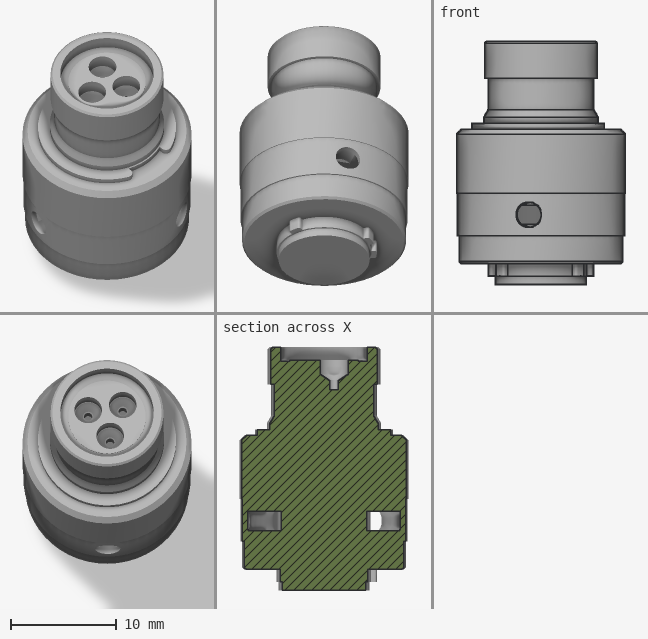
import cadquery as cq
import math

TOTAL_HEIGHT = 23.0
KEY_BASE_Z = 0.8
SHELL_BASE_Z = 1.98
LOWER_STEP_Z = 4.62
UPPER_STEP_Z = 8.65
SHELL_TOP_Z = 14.7
STOP_PLATE_TOP_Z = 15.23
COLLAR_EDGE_Z = 15.8
NECK_BASE_Z = 16.54
HEAD_BASE_Z = 19.48

SPIGOT_RADIUS = 4.3
KEY_RING_RADIUS = 4.48
LOWER_SHELL_RADIUS = 7.75
MIDDLE_SHELL_RADIUS = 7.91
SHELL_DIAMETER = 15.98
SHELL_RADIUS = SHELL_DIAMETER / 2
COLLAR_RADIUS = 5.4
NECK_RADIUS = 5.0
HEAD_RADIUS = 5.34

SHELL_BASE_CHAMFER = 0.2
SHELL_TOP_CHAMFER = 0.48
HEAD_CHAMFER = 0.18

KEY_OUTER_RADIUS = 5.0
KEY_WIDTH = 1.25
KEY_FILLET = 0.23
KEY_ANGLES = (90, 189, 218, 319, 353)

STOP_PLATE_RADIUS = 6.53
STOP_HUB_RADIUS = 5.55
STOP_GAP_WIDTH = 4.0
STOP_END_FILLET = 0.5

SOCKET_RADIUS = 4.42
SOCKET_DEPTH = 1.3
INSERT_RADIUS = 3.65
INSERT_RISE = 0.1

CONTACT_CIRCLE_RADIUS = 1.9
CONTACT_ANGLES = (30, 150, 270)
CONTACT_RADIUS = 1.3
CONTACT_LEDGE_RADIUS = 1.25
CONTACT_DEPTH = 1.35
CONTACT_CONE_DEPTH = 0.5
PIN_LEDGE_RADIUS = 0.5
PIN_HOLE_RADIUS = 0.4
PIN_HOLE_DEPTH = 0.92

SIDE_HOLE_RADIUS = 1.2
SIDE_HOLE_Z = 6.6
SIDE_HOLE_END_DISTANCE = 5.75
SIDE_HOLE_ANGLES = (21.5, 141.5, 261.5)
CHAMBER_RADIUS = 7.35
CORE_RADIUS = 4.42
CHAMBER_BASE_Z = 5.68
CHAMBER_TOP_Z = 7.48


def cylinder(radius, base_z, top_z):
    """Vertical cylinder about the part axis."""
    return cq.Workplane("XY").workplane(offset=base_z).circle(radius).extrude(top_z - base_z)


def turned_body():
    """Stepped body of revolution, without keys and stop plate."""
    outline = [
        (0, 0),
        (SPIGOT_RADIUS, 0),
        (SPIGOT_RADIUS, KEY_BASE_Z),
        (KEY_RING_RADIUS, KEY_BASE_Z),
        (KEY_RING_RADIUS, SHELL_BASE_Z),
        (LOWER_SHELL_RADIUS - SHELL_BASE_CHAMFER, SHELL_BASE_Z),
        (LOWER_SHELL_RADIUS, SHELL_BASE_Z + SHELL_BASE_CHAMFER),
        (LOWER_SHELL_RADIUS, LOWER_STEP_Z),
        (MIDDLE_SHELL_RADIUS, LOWER_STEP_Z),
        (MIDDLE_SHELL_RADIUS, UPPER_STEP_Z),
        (SHELL_RADIUS, UPPER_STEP_Z),
        (SHELL_RADIUS, SHELL_TOP_Z - SHELL_TOP_CHAMFER),
        (SHELL_RADIUS - SHELL_TOP_CHAMFER, SHELL_TOP_Z),
        (COLLAR_RADIUS, SHELL_TOP_Z),
        (COLLAR_RADIUS, COLLAR_EDGE_Z),
        (NECK_RADIUS, NECK_BASE_Z),
        (NECK_RADIUS, HEAD_BASE_Z),
        (HEAD_RADIUS, HEAD_BASE_Z),
        (HEAD_RADIUS, TOTAL_HEIGHT - HEAD_CHAMFER),
        (HEAD_RADIUS - HEAD_CHAMFER, TOTAL_HEIGHT),
        (0, TOTAL_HEIGHT),
    ]
    return cq.Workplane("XZ").polyline(outline).close().revolve(360, (0, 0), (0, 1))


def key(angle):
    """Radial key with a curved outer face and rounded outer corners."""
    height = SHELL_BASE_Z - KEY_BASE_Z
    bar = cq.Workplane("XY", origin=(0, 0, KEY_BASE_Z))
    bar = bar.box(KEY_OUTER_RADIUS, KEY_WIDTH, height, centered=(False, True, False))
    bar = bar.intersect(cylinder(KEY_OUTER_RADIUS, KEY_BASE_Z, SHELL_BASE_Z))
    outer_corners = cq.selectors.BoxSelector(
        (KEY_RING_RADIUS, -KEY_WIDTH, 0), (SHELL_RADIUS, KEY_WIDTH, SHELL_BASE_Z)
    )
    bar = bar.edges("|Z").edges(outer_corners).fillet(KEY_FILLET)
    return bar.rotate((0, 0, 0), (0, 0, 1), angle)


def stop_plate():
    """Ring with a gap toward +X, its outer ends rounded, around a full hub."""
    gap = cq.Workplane("XY").box(
        STOP_PLATE_RADIUS, STOP_GAP_WIDTH, TOTAL_HEIGHT, centered=(False, True, False)
    )
    plate = cylinder(STOP_PLATE_RADIUS, SHELL_TOP_Z, STOP_PLATE_TOP_Z).cut(gap)
    plate = plate.edges("|Z and >X").fillet(STOP_END_FILLET)
    return plate.union(cylinder(STOP_HUB_RADIUS, SHELL_TOP_Z, STOP_PLATE_TOP_Z))


def socket():
    """Round recess in the head, with a slightly raised insert on its floor."""
    floor_z = TOTAL_HEIGHT - SOCKET_DEPTH
    recess = cylinder(SOCKET_RADIUS, floor_z, TOTAL_HEIGHT)
    return recess.cut(cylinder(INSERT_RADIUS, floor_z, floor_z + INSERT_RISE))


def contact_cavity(angle):
    """Straight bore, narrow ledge, funnel and small pin hole, one below the other."""
    mouth_z = TOTAL_HEIGHT - SOCKET_DEPTH + INSERT_RISE
    ledge_z = mouth_z - CONTACT_DEPTH
    funnel_base_z = ledge_z - CONTACT_CONE_DEPTH
    pin_base_z = funnel_base_z - PIN_HOLE_DEPTH
    outline = [
        (0, mouth_z),
        (CONTACT_RADIUS, mouth_z),
        (CONTACT_RADIUS, ledge_z),
        (CONTACT_LEDGE_RADIUS, ledge_z),
        (PIN_LEDGE_RADIUS, funnel_base_z),
        (PIN_HOLE_RADIUS, funnel_base_z),
        (PIN_HOLE_RADIUS, pin_base_z),
        (0, pin_base_z),
    ]
    cavity = cq.Workplane("XZ").polyline(outline).close().revolve(360, (0, 0), (0, 1))
    x = CONTACT_CIRCLE_RADIUS * math.cos(math.radians(angle))
    y = CONTACT_CIRCLE_RADIUS * math.sin(math.radians(angle))
    return cavity.translate((x, y, 0))


def chamber():
    """Ring-shaped space between the shell wall and the inner core."""
    ring = cylinder(CHAMBER_RADIUS, CHAMBER_BASE_Z, CHAMBER_TOP_Z)
    return ring.cut(cylinder(CORE_RADIUS, CHAMBER_BASE_Z, CHAMBER_TOP_Z))


def side_hole(angle):
    """Radial hole from outside the shell through the wall and into the chamber."""
    drill = cq.Workplane("YZ", origin=(SIDE_HOLE_END_DISTANCE, 0, SIDE_HOLE_Z))
    drill = drill.circle(SIDE_HOLE_RADIUS).extrude(SHELL_RADIUS - SIDE_HOLE_END_DISTANCE)
    return drill.rotate((0, 0, 0), (0, 0, 1), angle)


result = turned_body().union(stop_plate())
for key_angle in KEY_ANGLES:
    result = result.union(key(key_angle))
result = result.cut(socket()).cut(chamber())
for contact_angle in CONTACT_ANGLES:
    result = result.cut(contact_cavity(contact_angle))
for hole_angle in SIDE_HOLE_ANGLES:
    result = result.cut(side_hole(hole_angle))